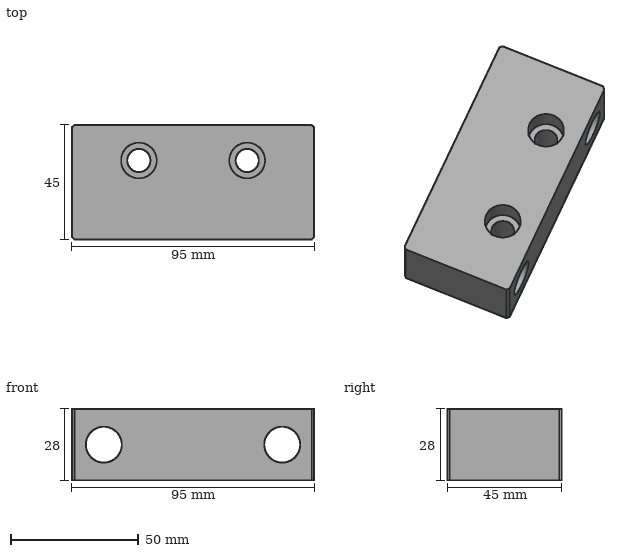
import cadquery as cq

length = 95.0
width = 45.0
height = 28.0
corner_chamfer = 1.0

cross_hole_diameter = 14.0
cross_hole_spacing = 70.0

screw_hole_diameter = 9.0
counterbore_diameter = 14.0
counterbore_depth = 10.0
screw_hole_spacing = 42.5
screw_hole_edge_distance = 14.0


def make_block():
    """Block centred in X and Y, resting on Z = 0, with chamfered upright edges."""
    block = cq.Workplane("XY").box(length, width, height, centered=(True, True, False))
    return block.edges("|Z").chamfer(corner_chamfer)


def cut_cross_holes(body):
    """Two through holes along Y at mid height."""
    half_spacing = cross_hole_spacing / 2
    holes = (
        cq.Workplane("XZ", origin=(0, 0, height / 2))
        .pushPoints([(-half_spacing, 0), (half_spacing, 0)])
        .circle(cross_hole_diameter / 2)
        .extrude(width / 2, both=True)
    )
    return body.cut(holes)


def cut_screw_holes(body):
    """Two through holes along Z, counterbored from the top face."""
    half_spacing = screw_hole_spacing / 2
    row_y = width / 2 - screw_hole_edge_distance
    return (
        body.faces(">Z")
        .workplane(origin=(0, 0, height))
        .pushPoints([(-half_spacing, row_y), (half_spacing, row_y)])
        .cboreHole(screw_hole_diameter, counterbore_diameter, counterbore_depth)
    )


result = cut_screw_holes(cut_cross_holes(make_block()))